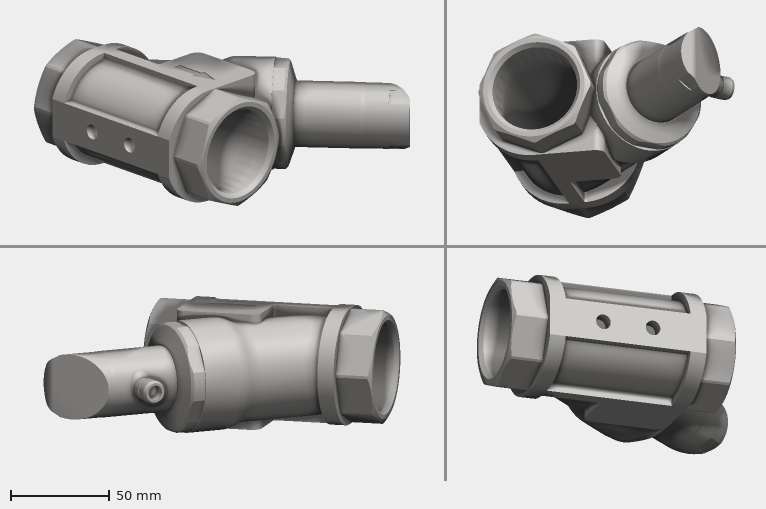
import cadquery as cq
import math


barrel_half_length = 42.3
flange_width = 8.5
groove_half_length = barrel_half_length - flange_width
overall_height = 60.0
barrel_radius = overall_height / 2
front_arc_y = -4.7
rear_arc_y = 4.0
groove_top_y = -4.1
recess_depth = 4.4
core_radius = barrel_radius - recess_depth
base_y = -32.9
rib_half_height = 10.2
groove_fillet = 1.9

pad_left_x = -2.2
pad_top_y = 31.6
pad_corner_radius = 5.0
pocket_corner_radius = 1.5

hole_spacing = 26.9
hole_radius = 4.0
hole_depth = 7.9

pipe_half_length = 60.8
octagon_sides = 8
octagon_across_flats = 55.0
octagon_corner_radius = 29.5
end_face_radius = 26.6
end_chamfer_length = 1.5
bore_radius = 21.2
taper_radius = 22.2
taper_depth = 20.5
mouth_radius = 24.2

arrow_depth = 0.5
arrow_tail_x = 6.0
arrow_neck_x = 21.4
arrow_tip_x = 33.8
arrow_y = 8.8
arrow_shaft_half_width = 2.2
arrow_head_half_width = 4.1

branch_angle = 41.3
branch_origin_x = -26.6
branch_radius = 25.8
bend_angle = math.radians(23)
branch_start = -3.1
bend_start = 47.0
bend_length = 5.4
slope_length = 1.9
seat = 79.2

cap_radius = 28.3
cap_sides = 6
cap_across_flats = 54.8
cap_edge = 85.5
cap_chamfer = 1.3
cap_top = 89.9
cap_top_radius = 17.6
rod_radius = 17.0
tip_radius = 16.8
taper_start = 124.0
taper_end = 126.0
rod_end = 149.2
slant_start = 128.5
slant_end_offset = -9.1
slant_edge_fillet = 4.7
recess_start = 138.4
recess_floor = 16.0
recess_half_width = 4.4
recess_tilt = 33

connector_place = 109.5
connector_radius = 6.0
connector_tip_radius = 5.0
connector_tip = 32.3
connector_shoulder = 30.7
connector_groove_top = 25.5
connector_groove_bottom = 24.5
connector_groove_radius = 5.2
collar_bottom = 22.8
collar_radius = 5.8
neck_radius = 5.5
flare_top = 17.8
flare_bottom = 14.8
flare_radius = flare_top - flare_bottom + neck_radius
socket_radius = 3.8
socket_depth = 6.3

FAR = 157.4


def box(x, y, z):
    """Box from three (low, high) pairs."""
    size = [high - low for low, high in (x, y, z)]
    return cq.Workplane("XY").box(*size, centered=False).translate((x[0], y[0], z[0]))


def along_x(half_length):
    """Work plane in Y-Z at X = -half_length, to be extruded towards +X."""
    return cq.Workplane("YZ", origin=(-half_length, 0, 0))


def round_section(half_length, radius, front_arc_y):
    """Bar along X with two half-round sides joined by flat top and bottom faces."""
    return (
        along_x(half_length)
        .moveTo(front_arc_y, -radius)
        .lineTo(rear_arc_y, -radius)
        .threePointArc((rear_arc_y + radius, 0), (rear_arc_y, radius))
        .lineTo(front_arc_y, radius)
        .threePointArc((front_arc_y - radius, 0), (front_arc_y, -radius))
        .close()
        .extrude(2 * half_length)
    )


def place_on_branch(shape):
    """Turn a shape built along X from the origin onto the branch axis."""
    return shape.rotate((0, 0, 0), (0, 0, 1), branch_angle).translate((branch_origin_x, 0, 0))


def revolve_about_x(profile):
    return profile.close().revolve(360, (0, 0, 0), (1, 0, 0))


def barrel():
    body = round_section(barrel_half_length, barrel_radius, front_arc_y)
    body = body.intersect(box((-FAR, FAR), (base_y, FAR), (-FAR, FAR)))

    pad = box((pad_left_x, barrel_half_length), (0, pad_top_y), (-barrel_radius, barrel_radius))
    body = body.union(pad.edges("|Z and >Y").fillet(pad_corner_radius))

    pocket = box((-groove_half_length, pad_left_x), (rear_arc_y, FAR), (-FAR, FAR))
    body = body.cut(pocket.edges("|Z and <Y").fillet(pocket_corner_radius))

    core = round_section(groove_half_length, core_radius, groove_top_y)
    groove_x = (-groove_half_length, groove_half_length)
    groove = box(groove_x, (-FAR, groove_top_y), (rib_half_height, FAR)).cut(core)
    inner_edge = cq.selectors.NearestToPointSelector((0, groove_top_y, core_radius))
    groove = groove.edges(inner_edge).fillet(groove_fillet)
    return body.cut(groove).cut(groove.mirror("XY"))


def pipe_ends():
    """Octagonal pipe ends that start inside the flanges, with turned corners and chamfered ends."""
    corner_diameter = octagon_across_flats / math.cos(math.pi / octagon_sides)
    octagon = along_x(pipe_half_length).polygon(octagon_sides, corner_diameter).extrude(2 * pipe_half_length)
    chamfer_x = pipe_half_length - end_chamfer_length
    turned = revolve_about_x(
        cq.Workplane("XY")
        .moveTo(-pipe_half_length, 0)
        .lineTo(-pipe_half_length, end_face_radius)
        .lineTo(-chamfer_x, octagon_corner_radius)
        .lineTo(chamfer_x, octagon_corner_radius)
        .lineTo(pipe_half_length, end_face_radius)
        .lineTo(pipe_half_length, 0)
    )
    middle = box((-groove_half_length, groove_half_length), (-FAR, FAR), (-FAR, FAR))
    return octagon.intersect(turned).cut(middle)


def bore():
    """Through bore with a tapered length and a chamfered mouth at both ends."""
    taper_x = pipe_half_length - taper_depth
    mouth_x = pipe_half_length - (mouth_radius - taper_radius)
    return revolve_about_x(
        cq.Workplane("XY")
        .moveTo(-pipe_half_length, 0)
        .lineTo(-pipe_half_length, mouth_radius)
        .lineTo(-mouth_x, taper_radius)
        .lineTo(-taper_x, bore_radius)
        .lineTo(taper_x, bore_radius)
        .lineTo(mouth_x, taper_radius)
        .lineTo(pipe_half_length, mouth_radius)
        .lineTo(pipe_half_length, 0)
    )


def branch():
    """Round branch that widens through two smooth bends towards the sensor seat."""
    bend_rise = bend_length * math.tan(bend_angle / 2)
    slope_rise = slope_length * math.tan(bend_angle)
    slope_start = (bend_start + bend_length, branch_radius + bend_rise)
    slope_end = (slope_start[0] + slope_length, slope_start[1] + slope_rise)
    head_start = (slope_end[0] + bend_length, slope_end[1] + bend_rise)
    profile = (
        cq.Workplane("XY")
        .moveTo(branch_start, 0)
        .lineTo(branch_start, branch_radius)
        .lineTo(bend_start, branch_radius)
        .tangentArcPoint(slope_start, relative=False)
        .lineTo(*slope_end)
        .tangentArcPoint(head_start, relative=False)
        .lineTo(seat, head_start[1])
        .lineTo(seat, 0)
    )
    return place_on_branch(revolve_about_x(profile))


def mounting_holes():
    return (
        cq.Workplane("XZ", origin=(0, base_y, 0))
        .pushPoints([(-hole_spacing / 2, 0), (hole_spacing / 2, 0)])
        .circle(hole_radius)
        .extrude(-hole_depth)
    )


def flow_arrow():
    return (
        cq.Workplane("XY", origin=(0, arrow_y, barrel_radius))
        .moveTo(arrow_tail_x, -arrow_shaft_half_width)
        .lineTo(arrow_neck_x, -arrow_shaft_half_width)
        .lineTo(arrow_neck_x, -arrow_head_half_width)
        .lineTo(arrow_tip_x, 0)
        .lineTo(arrow_neck_x, arrow_head_half_width)
        .lineTo(arrow_neck_x, arrow_shaft_half_width)
        .lineTo(arrow_tail_x, arrow_shaft_half_width)
        .close()
        .extrude(-arrow_depth)
    )


def make_housing():
    body = barrel().union(pipe_ends()).union(branch())
    return body.cut(bore()).cut(mounting_holes()).cut(flow_arrow())


def sensor_cap():
    """Turned cap with six wrench flats, a chamfered edge and a conical top."""
    turned = revolve_about_x(
        cq.Workplane("XY")
        .moveTo(seat, 0)
        .lineTo(seat, cap_radius)
        .lineTo(cap_edge, cap_radius)
        .lineTo(cap_edge + cap_chamfer, cap_radius - cap_chamfer)
        .lineTo(cap_top, cap_top_radius)
        .lineTo(cap_top, 0)
    )
    corner_diameter = cap_across_flats / math.cos(math.pi / cap_sides)
    hexagon = cq.Workplane("YZ").polygon(cap_sides, corner_diameter).extrude(FAR)
    return turned.intersect(hexagon)


def sensor_rod():
    """Round rod that tapers slightly to a tip with a slanted end and two small flat-bottomed recesses."""
    rod = revolve_about_x(
        cq.Workplane("XY")
        .moveTo(seat, 0)
        .lineTo(seat, rod_radius)
        .lineTo(taper_start, rod_radius)
        .lineTo(taper_end, tip_radius)
        .lineTo(rod_end, tip_radius)
        .lineTo(rod_end, 0)
    )
    slant = (
        cq.Workplane("XY")
        .moveTo(slant_start, tip_radius)
        .lineTo(rod_end, slant_end_offset)
        .lineTo(FAR, slant_end_offset)
        .lineTo(FAR, tip_radius)
        .close()
        .extrude(FAR, both=True)
    )
    slant_edge = cq.selectors.NearestToPointSelector((rod_end, slant_end_offset, 0))
    rod = rod.cut(slant).edges(slant_edge).fillet(slant_edge_fillet)
    recess = box((recess_start, FAR), (-recess_half_width, recess_half_width), (recess_floor, FAR))
    recess = recess.rotate((0, 0, 0), (1, 0, 0), recess_tilt)
    return rod.cut(recess).cut(recess.mirror("XY"))


def connector():
    """Round plug connector with a grooved neck and a flared foot, standing square on the rod."""
    profile = (
        cq.Workplane("XY")
        .lineTo(flare_radius, 0)
        .lineTo(flare_radius, flare_bottom)
        .lineTo(neck_radius, flare_top)
        .lineTo(neck_radius, collar_bottom)
        .lineTo(collar_radius, collar_bottom)
        .lineTo(collar_radius, connector_groove_bottom)
        .lineTo(connector_groove_radius, connector_groove_bottom)
        .lineTo(connector_groove_radius, connector_groove_top)
        .lineTo(connector_radius, connector_groove_top)
        .lineTo(connector_radius, connector_shoulder)
        .lineTo(connector_tip_radius, connector_tip)
        .lineTo(socket_radius, connector_tip)
        .lineTo(socket_radius, connector_tip - socket_depth)
        .lineTo(0, connector_tip - socket_depth)
        .close()
    )
    return profile.revolve(360, (0, 0, 0), (0, 1, 0)).translate((connector_place, 0, 0))


def make_sensor():
    return place_on_branch(sensor_cap().union(sensor_rod()).union(connector()))


housing = make_housing()
sensor = make_sensor()
result = cq.Compound.makeCompound([housing.val(), sensor.val()])